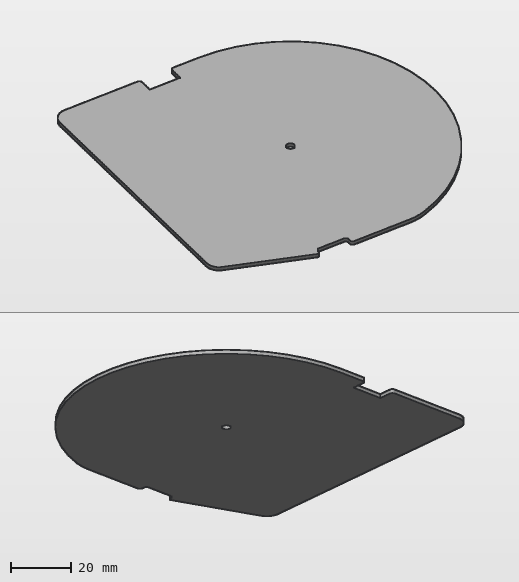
import cadquery as cq
import math

thickness = 1.5
round_radius = 57.0
right_edge = 55.0
bottom_edge = -57.81
hole_diameter = 3.0

notch_top = -10.95
notch_width = 11.95
notch_bottom = notch_top - notch_width
left_notch_floor = -51.15
right_notch_floor = 51.95

slant_top_x = 54.7
slant_angle = 20.0
slant_run = (notch_bottom - bottom_edge) * math.tan(math.radians(slant_angle))

bottom_corner_radius = 5.0
notch_corner_radius = 1.0
shoulder_radius = 20.0

left_edge = -round_radius
shoulder_y = math.sqrt(round_radius**2 - right_edge**2)
slant_foot_x = slant_top_x - slant_run


def make_blank():
    """Plate with sharp corners: round top, two side notches, slanted lower right edge."""
    return (
        cq.Workplane("XY")
        .moveTo(left_edge, 0)
        .threePointArc((0, round_radius), (right_edge, shoulder_y))
        .lineTo(right_edge, notch_top)
        .lineTo(right_notch_floor, notch_top)
        .lineTo(right_notch_floor, notch_bottom)
        .lineTo(slant_top_x, notch_bottom)
        .lineTo(slant_foot_x, bottom_edge)
        .lineTo(left_edge, bottom_edge)
        .lineTo(left_edge, notch_bottom)
        .lineTo(left_notch_floor, notch_bottom)
        .lineTo(left_notch_floor, notch_top)
        .lineTo(left_edge, notch_top)
        .close()
        .extrude(thickness)
    )


def round_corners(plate, corners, radius):
    """Fillet the upright edges standing at the given (x, y) corners."""
    for x, y in corners:
        edge = cq.selectors.NearestToPointSelector((x, y, thickness / 2))
        plate = plate.edges("|Z").edges(edge).fillet(radius)
    return plate


def cut_hole(plate):
    """Pivot hole through the plate at the centre of the round end."""
    hole = cq.Workplane("XY").circle(hole_diameter / 2).extrude(thickness)
    return plate.cut(hole)


shoulder_corners = [(right_edge, shoulder_y)]
bottom_corners = [(left_edge, bottom_edge), (slant_foot_x, bottom_edge)]
notch_corners = [
    (left_edge, notch_top),
    (left_edge, notch_bottom),
    (right_notch_floor, notch_top),
    (right_notch_floor, notch_bottom),
    (right_edge, notch_top),
    (slant_top_x, notch_bottom),
]

result = make_blank()
result = round_corners(result, shoulder_corners, shoulder_radius)
result = round_corners(result, bottom_corners, bottom_corner_radius)
result = round_corners(result, notch_corners, notch_corner_radius)
result = cut_hole(result)